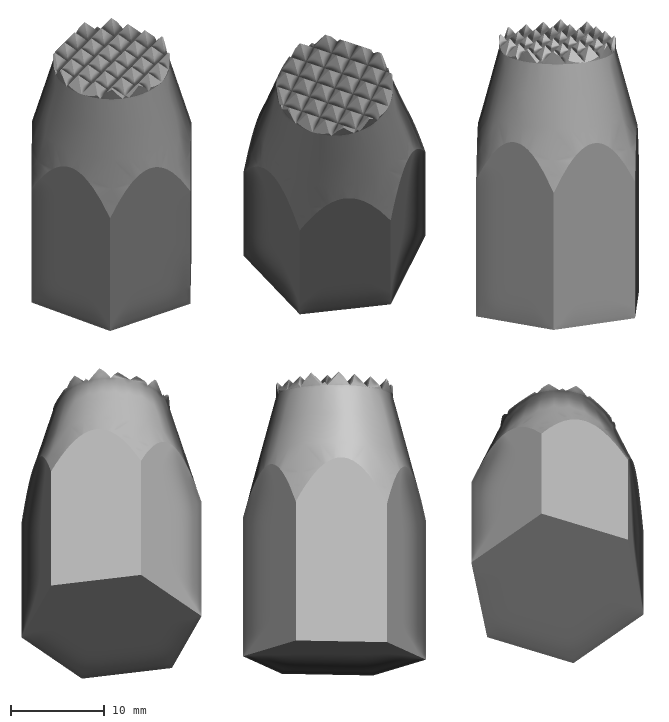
import cadquery as cq
import math

total_height = 30.0
across_flats = 16.98
across_corners = across_flats / math.cos(math.radians(30))

tooth_height = 1.5
face_radius = 6.25
taper_angle = 15.0
teeth_across = 6
tooth_pitch = 2 * face_radius / teeth_across

face_height = total_height - tooth_height
corner_clearance = 0.3
cone_foot_radius = across_corners / 2 + corner_clearance
cone_height = (cone_foot_radius - face_radius) / math.tan(math.radians(taper_angle))


def tapered_envelope():
    """Round body: a cylinder, then a cone, then a short cylinder holding the teeth."""
    return (
        cq.Workplane("YZ")
        .moveTo(0, 0)
        .lineTo(cone_foot_radius, 0)
        .lineTo(cone_foot_radius, face_height - cone_height)
        .lineTo(face_radius, face_height)
        .lineTo(face_radius, total_height)
        .lineTo(0, total_height)
        .close()
        .revolve(360, (0, 0), (0, 1))
    )


def ridged_block(plane):
    """Block as wide as the hexagon, topped by parallel V ridges running along the plane normal."""
    half_width = across_corners / 2
    profile = [(-half_width, 0), (-half_width, face_height)]
    for tooth in range(teeth_across):
        root = -face_radius + tooth * tooth_pitch
        profile.append((root, face_height))
        profile.append((root + tooth_pitch / 2, total_height))
    profile += [(face_radius, face_height), (half_width, face_height), (half_width, 0)]
    return cq.Workplane(plane).polyline(profile).close().extrude(half_width, both=True)


hexagon = cq.Workplane("XY").polygon(6, across_corners).extrude(total_height)

result = (
    hexagon.intersect(tapered_envelope())
    .intersect(ridged_block("XZ"))
    .intersect(ridged_block("YZ"))
)